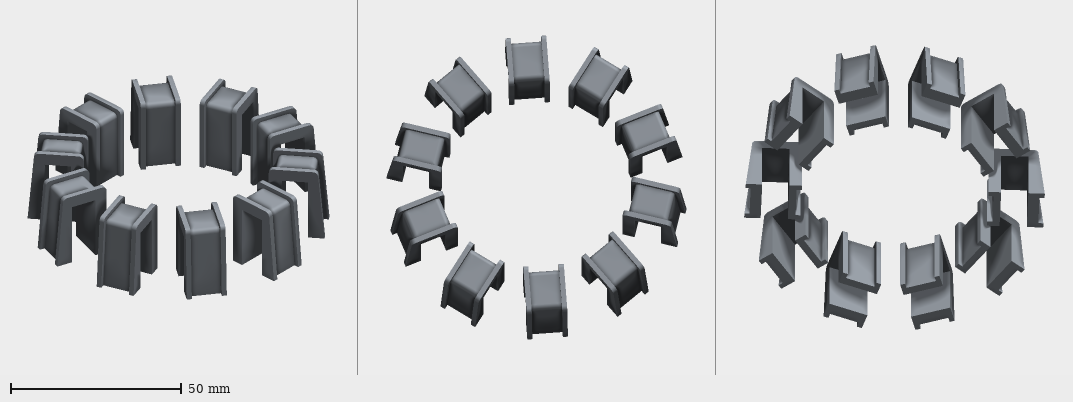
import cadquery as cq
import math

SADDLE_COUNT = 10
FIRST_ANGLE = 90
OUTER_RADIUS = 44.0
HEIGHT = 22.95
DEPTH = 16.5
OUTER_SLOPE = 5.0

WIDTH = 12.0
FLANGE_THICKNESS = 1.5
FLANGE_LIP = 1.5
CORNER_RADIUS = 1.5

SLOT_WIDTH = 8.0
INNER_LEG = 3.7
ROOF = 3.7

INNER_RADIUS = OUTER_RADIUS - DEPTH
CORE_WIDTH = WIDTH - 2 * FLANGE_THICKNESS


def arch_block(inset, width):
    """Block with an upright inner face, a leaning outer face and rounded top edges.

    The inset shrinks both faces and the top, each measured square to the face.
    """
    lean = math.radians(OUTER_SLOPE)
    inner = INNER_RADIUS + inset
    outer_foot = OUTER_RADIUS - inset / math.cos(lean)
    top = HEIGHT - inset
    outer_top = outer_foot - top * math.tan(lean)
    return (
        cq.Workplane("XZ")
        .polyline([(inner, 0), (outer_foot, 0), (outer_top, top), (inner, top)])
        .close()
        .extrude(width / 2, both=True)
        .edges("|Y and (not <Z)")
        .fillet(CORNER_RADIUS)
    )


def flange(side):
    """End plate on the given side (-1 or 1) of the core."""
    offset = side * (WIDTH - FLANGE_THICKNESS) / 2
    return arch_block(0, FLANGE_THICKNESS).translate((0, offset, 0))


def leg_slot():
    """Rectangular passage through the core and both flanges."""
    return (
        cq.Workplane("XY")
        .box(SLOT_WIDTH, WIDTH, HEIGHT - ROOF, centered=(False, True, False))
        .translate((INNER_RADIUS + INNER_LEG, 0, 0))
    )


def make_saddle(angle):
    """One flanged saddle at the given angle around the ring."""
    core = arch_block(FLANGE_LIP, CORE_WIDTH)
    body = core.union(flange(-1)).union(flange(1)).cut(leg_slot())
    return body.rotate((0, 0, 0), (0, 0, 1), angle)


saddles = []
for index in range(SADDLE_COUNT):
    saddle = make_saddle(FIRST_ANGLE + index * 360 / SADDLE_COUNT)
    saddles.append(saddle.val())

result = cq.Compound.makeCompound(saddles)